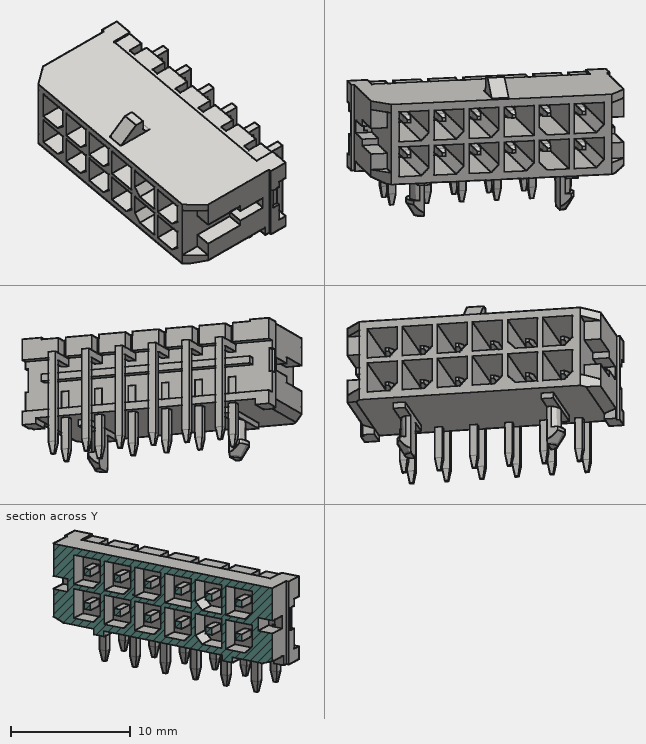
import cadquery as cq


FLANGE_WIDTH = 22.15
BODY_WIDTH = 21.66
FACE_WIDTH = 18.87
BODY_TOP = 7.35
BODY_BOTTOM = 0.49
BODY_REAR = 9.9
CORNER_CHAMFER_LENGTH = 1.66

FLANGE_FRONT = 8.28
FOOT_FRONT = 7.89
FOOT_SPAN = 19.67
EDGE_BEVEL_TOP = 0.86

CELL_SIZE = 2.55
CELL_KEY = 0.66
CELL_DEPTH = 7.53
UPPER_KEYS = [1, 1, 1, 0, -1, 1]
LOWER_KEYS = [1, 1, 1, 1, -1, 1]
COLUMNS = len(UPPER_KEYS)
COLUMN_SPAN = 15.0
PITCH = COLUMN_SPAN / (COLUMNS - 1)
UPPER_ROW_Z = 5.4
LOWER_ROW_Z = UPPER_ROW_Z - PITCH

PIN_WIDTH = 0.65
PIN_TIP_WIDTH = 0.29
PIN_TIP_LENGTH = 1.02
PIN_FRONT = 2.0
PIN_EMBED = 0.66
TAIL_BOTTOM = -3.21
LOWER_TAIL_Y = 8.9
UPPER_TAIL_REAR = 12.25
UPPER_TAIL_TOP = 5.5
UPPER_SLOT_FRONT = 8.6

REAR_WALL = 9.17
WINDOW_BOTTOM = 1.15
WINDOW_TOP = 5.55
LIP_NOTCH_FRONT = 8.53
LIP_NOTCH_BOTTOM = 2.95
LIP_NOTCH_TOP = 4.95
COMB_WIDTH = 18.7
COMB_FRONT = 8.15
COMB_DROP = 0.15
REAR_BAR_BOTTOM = 3.6
REAR_BAR_TOP = 4.2

POCKET_STEPS = [
    (0.0, CORNER_CHAMFER_LENGTH, 1.48, 6.62),
    (CORNER_CHAMFER_LENGTH, 5.15, 2.81, 5.0),
    (5.15, 7.62, 3.35, 4.45),
]
POCKET_END_DEPTH = 0.1
POCKET_END_X = 9.83
POCKET_TAB_X = 10.12
POCKET_TAB_BOTTOM = 3.5
POCKET_TAB_TOP = 4.32

LATCH_WIDTH = 1.45
LATCH_TOP = 8.75
LATCH_FRONT = 0.55
LATCH_CREST_FRONT = 2.22
LATCH_CREST_REAR = 2.97
LATCH_REAR = 3.68
LATCH_ARC_TOP = 7.93
LATCH_ARC_MIDDLE = (3.2, 7.53)

PEG_FLAT_X = 5.83
PEG_AXIS_INSET = 0.1
PEG_Y = 4.6
PEG_WIDTH = 2.02
SHANK_RADIUS = 1.13
SHANK_BOTTOM = -1.8
BARB_RADIUS = 1.45
BARB_CONE_TOP = -2.13
BARB_CONE_BOTTOM = -3.08
BARB_CONE_END_RADIUS = 0.86
BARB_END_RADIUS = 0.8
RAIL_FRONT = 1.4


def block(x_range, y_range, z_range):
    """Box given by its limits along X, Y and Z."""
    (x0, x1), (y0, y1), (z0, z1) = x_range, y_range, z_range
    return cq.Workplane("XY").box(x1 - x0, y1 - y0, z1 - z0, centered=False).translate((x0, y0, z0))


def centred(width, middle=0.0):
    """Limits of a width centred on a middle position."""
    return (middle - width / 2, middle + width / 2)


def both_sides(shape):
    """A shape together with its mirror image across the YZ plane."""
    return shape.union(shape.mirror("YZ"))


def make_shell():
    """Solid housing outline: chamfered body, rear flange and feet."""
    half_face, half_body, half_foot = FACE_WIDTH / 2, BODY_WIDTH / 2, FOOT_SPAN / 2
    plan = cq.Workplane("XY").polyline([
        (-half_face, 0), (half_face, 0), (half_body, CORNER_CHAMFER_LENGTH), (half_body, FLANGE_FRONT),
        (-half_body, FLANGE_FRONT), (-half_body, CORNER_CHAMFER_LENGTH),
    ]).close().extrude(BODY_TOP)
    section = cq.Workplane("XZ").polyline([
        (-half_foot, BODY_BOTTOM), (half_foot, BODY_BOTTOM), (half_body, EDGE_BEVEL_TOP),
        (half_body, BODY_TOP), (-half_body, BODY_TOP), (-half_body, EDGE_BEVEL_TOP),
    ]).close().extrude(-FLANGE_FRONT)
    shell = plan.intersect(section)
    shell = shell.union(block(centred(FLANGE_WIDTH), (FLANGE_FRONT, BODY_REAR), (BODY_BOTTOM, BODY_TOP)))
    foot = block((half_foot, half_body), (FOOT_FRONT, FLANGE_FRONT), (0, EDGE_BEVEL_TOP))
    foot = foot.union(block((half_foot, FLANGE_WIDTH / 2), (FLANGE_FRONT, BODY_REAR), (0, EDGE_BEVEL_TOP)))
    return shell.union(both_sides(foot))


def side_pockets():
    """Stepped pockets in both sides, with a narrow recess at the rear end."""
    inner, outer = FACE_WIDTH / 2, FLANGE_WIDTH / 2
    pocket = cq.Workplane("XY")
    for front, rear, bottom, top in POCKET_STEPS:
        pocket = pocket.union(block((inner, outer), (front, rear), (bottom, top)))
    _, slot_rear, slot_bottom, slot_top = POCKET_STEPS[-1]
    recess = (slot_rear, slot_rear + POCKET_END_DEPTH)
    pocket = pocket.union(block((inner, POCKET_END_X), recess, (slot_bottom, slot_top)))
    pocket = pocket.union(block((inner, POCKET_TAB_X), recess, (POCKET_TAB_BOTTOM, POCKET_TAB_TOP)))
    return both_sides(pocket)


def rear_cuts():
    """Rear window, notches in the flange lips and the lowered comb surface."""
    window = block(centred(FLANGE_WIDTH), (REAR_WALL, BODY_REAR), (WINDOW_BOTTOM, WINDOW_TOP))
    lip_notch = block((BODY_WIDTH / 2, FLANGE_WIDTH / 2), (LIP_NOTCH_FRONT, REAR_WALL),
                      (LIP_NOTCH_BOTTOM, LIP_NOTCH_TOP))
    comb = block(centred(COMB_WIDTH), (COMB_FRONT, BODY_REAR), (BODY_TOP - COMB_DROP, BODY_TOP))
    return window.union(both_sides(lip_notch)).union(comb)


def make_cell(x, z, key_side):
    """Mating cell; key_side is +1 or -1 for the keyed lower corner, 0 for a square cell."""
    cell = block(centred(CELL_SIZE, x), (0, CELL_DEPTH), centred(CELL_SIZE, z))
    if key_side:
        corner_x, corner_z = x + key_side * CELL_SIZE / 2, z - CELL_SIZE / 2
        key = cq.Workplane("XZ").polyline([
            (corner_x, corner_z), (corner_x - key_side * CELL_KEY, corner_z), (corner_x, corner_z + CELL_KEY),
        ]).close().extrude(-CELL_DEPTH)
        cell = cell.cut(key)
    return cell


def tapered_pin(length):
    """Square pin along +Z that ends in a tapered tip."""
    shaft_length = length - PIN_TIP_LENGTH
    shaft = cq.Workplane("XY").rect(PIN_WIDTH, PIN_WIDTH).extrude(shaft_length)
    tip = (cq.Workplane("XY").workplane(offset=shaft_length).rect(PIN_WIDTH, PIN_WIDTH)
           .workplane(offset=PIN_TIP_LENGTH).rect(PIN_TIP_WIDTH, PIN_TIP_WIDTH).loft(ruled=True))
    return shaft.union(tip)


def contact(x, z):
    """Contact pin pointing at the mating face inside a cell."""
    root = CELL_DEPTH + PIN_EMBED
    return tapered_pin(root - PIN_FRONT).rotate((0, 0, 0), (1, 0, 0), 90).translate((x, root, z))


def tail(x, y, top):
    """Solder tail pointing down."""
    return tapered_pin(top - TAIL_BOTTOM).rotate((0, 0, 0), (1, 0, 0), 180).translate((x, y, top))


def make_latch():
    """Ramped latch on the top face, hollowed behind by an arc."""
    return (cq.Workplane("YZ").workplane(offset=-LATCH_WIDTH / 2)
            .moveTo(LATCH_FRONT, BODY_TOP).lineTo(LATCH_CREST_FRONT, LATCH_TOP)
            .lineTo(LATCH_CREST_REAR, LATCH_TOP).lineTo(LATCH_CREST_REAR, LATCH_ARC_TOP)
            .threePointArc(LATCH_ARC_MIDDLE, (LATCH_REAR, BODY_TOP)).close().extrude(LATCH_WIDTH))


def make_peg():
    """Barbed board peg of about half-round section, below a rail; flat faces the part centre."""
    peg = cq.Workplane("XZ").polyline([
        (0, 0), (SHANK_RADIUS, 0), (SHANK_RADIUS, SHANK_BOTTOM), (BARB_RADIUS, SHANK_BOTTOM),
        (BARB_RADIUS, BARB_CONE_TOP), (BARB_CONE_END_RADIUS, BARB_CONE_BOTTOM),
        (BARB_END_RADIUS, TAIL_BOTTOM), (0, TAIL_BOTTOM),
    ]).close().revolve(360, (0, 0, 0), (0, 1, 0))
    peg = peg.intersect(block((PEG_AXIS_INSET, BARB_RADIUS), centred(PEG_WIDTH), (TAIL_BOTTOM, 0)))
    axis_x = PEG_FLAT_X - PEG_AXIS_INSET
    rail = block((PEG_FLAT_X, axis_x + SHANK_RADIUS), (RAIL_FRONT, FOOT_FRONT), (0, BODY_BOTTOM))
    return peg.translate((axis_x, PEG_Y, 0)).union(rail)


housing = make_shell().cut(side_pockets()).cut(rear_cuts())
housing = housing.union(block(centred(COMB_WIDTH), (REAR_WALL, BODY_REAR), (REAR_BAR_BOTTOM, REAR_BAR_TOP)))

column_xs = [(column - (COLUMNS - 1) / 2) * PITCH for column in range(COLUMNS)]
upper_tail_y = UPPER_TAIL_REAR - PIN_WIDTH / 2

for x, upper_key, lower_key in zip(column_xs, UPPER_KEYS, LOWER_KEYS):
    housing = housing.cut(make_cell(x, UPPER_ROW_Z, upper_key))
    housing = housing.cut(make_cell(x, LOWER_ROW_Z, lower_key))
    slot = block(centred(PIN_WIDTH, x), (UPPER_SLOT_FRONT, BODY_REAR), (UPPER_TAIL_TOP, BODY_TOP))
    housing = housing.cut(slot)

result = housing.union(make_latch()).union(both_sides(make_peg()))
for x in column_xs:
    upper_arm = block(centred(PIN_WIDTH, x), (UPPER_SLOT_FRONT, UPPER_TAIL_REAR),
                      (UPPER_TAIL_TOP - PIN_WIDTH, UPPER_TAIL_TOP))
    result = result.union(contact(x, UPPER_ROW_Z)).union(contact(x, LOWER_ROW_Z))
    result = result.union(upper_arm).union(tail(x, upper_tail_y, UPPER_TAIL_TOP))
    result = result.union(tail(x, LOWER_TAIL_Y, LOWER_ROW_Z + PIN_WIDTH / 2))